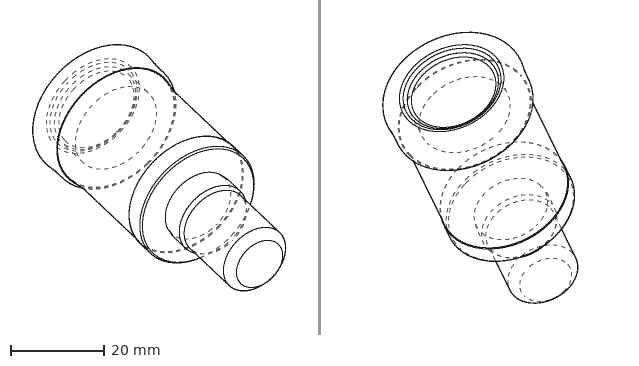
import cadquery as cq

total_length = 68.0

cap_length = 9.45
cap_radius = 16.0
cap_front_round = 1.8
cap_rim_radius = 13.75
cap_rim_depth = 0.1
cap_crest_end_x = 2.7
cap_side_start_x = 3.1
cap_crest_end_radius = 15.9
cap_side_start_radius = 15.85
cap_back_radius = 15.7
cap_side_end_x = 8.4
cap_back_round_end = (9.05, 15.45)
cap_back_edge_radius = 14.95
cap_mouth_radius = 11.75
cap_throat_radius = 11.0
cap_throat_x = 0.35

spigot_radius = 10.3
spigot_lip_x = 0.95
dish_floor_radius = 9.5
dish_floor_x = 1.5

neck_front_radius = 14.75
neck_back_radius = 14.6
neck_taper_end_x = 11.7
neck_slope_start = (12.1, 14.55)
neck_slope_end = (13.0, 14.4)
barrel_start_x = 13.8

barrel_radius = 28.6 / 2
flange_radius = 29.0 / 2
flange_start_x = 38.1
flange_end_x = 42.9
flange_front_chamfer = flange_radius - barrel_radius
flange_back_chamfer = 0.4

collar_radius = 17.0 / 2
collar_end_x = 50.0
collar_chamfer_length = 1.0
undercut_radius = 8.3
undercut_end_x = 43.45
undercut_run_out = 0.8
stud_radius = 15.8 / 2
stud_tip_chamfer = 2.05


def revolve_about_x(profile):
    """Turn a closed half profile, drawn as (x, radius), about the X axis."""
    return profile.close().revolve(360, (0, 0, 0), (1, 0, 0))


def make_cap():
    round_start_radius = cap_radius - cap_front_round
    profile = (
        cq.Workplane("XY")
        .moveTo(cap_rim_depth, cap_mouth_radius)
        .lineTo(cap_rim_depth, cap_rim_radius)
        .lineTo(0, round_start_radius)
        .radiusArc((cap_front_round, cap_radius), cap_front_round)
        .lineTo(cap_crest_end_x, cap_crest_end_radius)
        .lineTo(cap_side_start_x, cap_side_start_radius)
        .lineTo(cap_side_end_x, cap_back_radius)
        .tangentArcPoint(cap_back_round_end, relative=False)
        .lineTo(cap_length, cap_back_edge_radius)
        .lineTo(cap_length, spigot_radius)
        .lineTo(spigot_lip_x, spigot_radius)
        .lineTo(cap_throat_x, cap_throat_radius)
        .lineTo(cap_rim_depth, cap_mouth_radius)
    )
    return revolve_about_x(profile)


def make_body():
    profile = (
        cq.Workplane("XY")
        .moveTo(dish_floor_x, 0)
        .lineTo(dish_floor_x, dish_floor_radius)
        .lineTo(spigot_lip_x, spigot_radius)
        .lineTo(cap_length, spigot_radius)
        .lineTo(cap_length, neck_front_radius)
        .lineTo(neck_taper_end_x, neck_back_radius)
        .tangentArcPoint(neck_slope_start, relative=False)
        .lineTo(*neck_slope_end)
        .tangentArcPoint((barrel_start_x, barrel_radius), relative=False)
        .lineTo(flange_start_x - flange_front_chamfer, barrel_radius)
        .lineTo(flange_start_x, flange_radius)
        .lineTo(flange_end_x - flange_back_chamfer, flange_radius)
        .lineTo(flange_end_x, flange_radius - flange_back_chamfer)
        .lineTo(flange_end_x, undercut_radius)
        .lineTo(undercut_end_x, undercut_radius)
        .lineTo(undercut_end_x + undercut_run_out, collar_radius)
        .lineTo(collar_end_x - collar_chamfer_length, collar_radius)
        .lineTo(collar_end_x, stud_radius)
        .lineTo(total_length - stud_tip_chamfer, stud_radius)
        .lineTo(total_length, stud_radius - stud_tip_chamfer)
        .lineTo(total_length, 0)
    )
    return revolve_about_x(profile)


cap = make_cap()
body = make_body()
result = cq.Compound.makeCompound([cap.val(), body.val()])